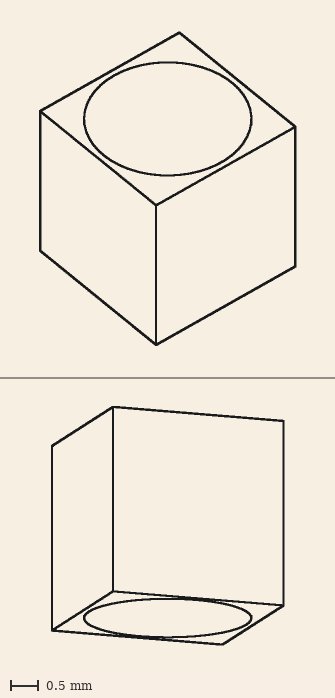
import cadquery as cq

side = 3.25
height = 3.4
bore_diameter = 3.0

block = cq.Workplane("XY").rect(side, side).extrude(height)

result = block.faces(">Z").workplane().hole(bore_diameter)